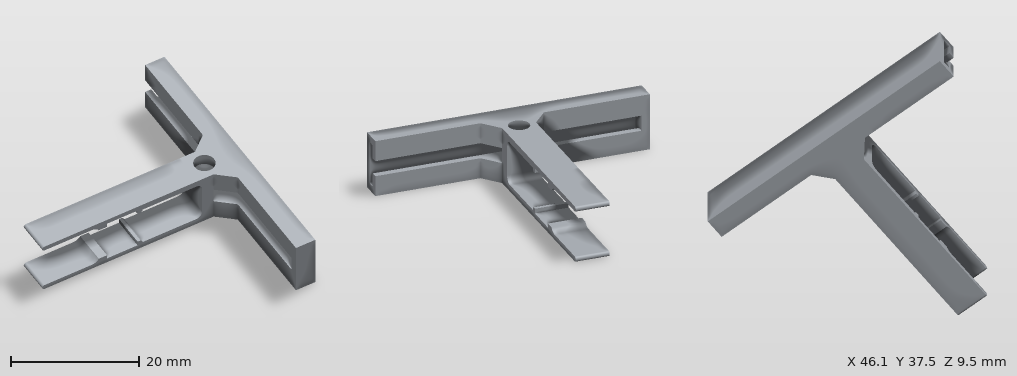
import cadquery as cq
import math


height = 9.5
bar_length = 46.15
bar_left = -23.0
bar_right = bar_left + bar_length
bar_depth = 3.5
total_depth = 37.5
stem_width = 5.7

gusset_width = 2.5
gusset_end = 6.4

slot_rear = 1.0
slot_head_depth = 1.4
slot_head_height = 7.1
slot_neck_height = 2.6
slot_end_wall = 1.4

hole_diameter = 3.5
hole_depth = 2.0

fork_start = 8.5
fork_corner_radius = 1.1
arm_root_thickness = 1.1
arm_thickness = 0.85
tip_radius = 0.42

inner_catch_start = 19.35
inner_catch_end = 20.2
inner_catch_thickness = 1.65
inner_catch_chamfer = 0.3
inner_catch_crest_start = inner_catch_start + inner_catch_chamfer
inner_catch_shoulder = inner_catch_thickness - inner_catch_chamfer

outer_catch_start = 25.75
outer_catch_crest_end = 27.25
outer_catch_thickness = 1.55
ramp_foot = 28.5
ramp_run = ramp_foot - outer_catch_crest_end
ramp_rise = outer_catch_thickness - arm_thickness
ramp_radius = (ramp_run**2 + ramp_rise**2) / (2 * ramp_rise)
ramp_half_angle = math.asin(ramp_run / ramp_radius) / 2
ramp_middle = ramp_foot - ramp_radius * math.sin(ramp_half_angle)
ramp_middle_thickness = arm_thickness + ramp_radius * (1 - math.cos(ramp_half_angle))


def box_between(x_min, x_max, depth_start, depth_end, box_height):
    """Box centred on mid-height between two X positions and two depths."""
    return cq.Workplane("XY").box(
        x_max - x_min, depth_end - depth_start, box_height, centered=(False, False, True)
    ).translate((x_min, -depth_end, 0))


def tee_body():
    """Bar, gussets and stem as one full-height plate."""
    half_stem = stem_width / 2
    gusset_reach = half_stem + gusset_width
    outline = [
        (bar_left, 0),
        (bar_right, 0),
        (bar_right, -bar_depth),
        (gusset_reach, -bar_depth),
        (half_stem, -gusset_end),
        (half_stem, -total_depth),
        (-half_stem, -total_depth),
        (-half_stem, -gusset_end),
        (-gusset_reach, -bar_depth),
        (bar_left, -bar_depth),
    ]
    return (
        cq.Workplane("XY")
        .workplane(offset=-height / 2)
        .polyline(outline)
        .close()
        .extrude(height)
    )


def t_slot():
    """Slot head inside the bar and its neck, which also splits the gussets."""
    slot_end = bar_right - slot_end_wall
    head_front = slot_rear + slot_head_depth
    head = box_between(bar_left, slot_end, slot_rear, head_front, slot_head_height)
    neck = box_between(bar_left, slot_end, head_front, gusset_end, slot_neck_height)
    return head.union(neck)


def blind_hole():
    """Round hole sunk from the top face where the gussets meet the stem."""
    return (
        cq.Workplane("XY")
        .workplane(offset=height / 2 - hole_depth)
        .center(0, -gusset_end)
        .circle(hole_diameter / 2)
        .extrude(hole_depth)
    )


def upper_arm_point(depth, thickness):
    """Point in the YZ plane on the inner side of the upper arm."""
    return (-depth, height / 2 - thickness)


def half_fork_gap():
    """Upper half of the gap between the arms, following the catches of the upper arm."""
    root_to_crest = [
        (fork_start, height / 2),
        (fork_start, arm_root_thickness),
        (inner_catch_start, arm_root_thickness),
        (inner_catch_start, inner_catch_shoulder),
        (inner_catch_crest_start, inner_catch_thickness),
        (inner_catch_end, inner_catch_thickness),
        (inner_catch_end, arm_thickness),
        (outer_catch_start, arm_thickness),
        (outer_catch_start, outer_catch_thickness),
        (outer_catch_crest_end, outer_catch_thickness),
    ]
    gap = (
        cq.Workplane("YZ")
        .polyline([upper_arm_point(depth, thickness) for depth, thickness in root_to_crest])
        .threePointArc(
            upper_arm_point(ramp_middle, ramp_middle_thickness),
            upper_arm_point(ramp_foot, arm_thickness),
        )
        .lineTo(*upper_arm_point(total_depth, arm_thickness))
        .lineTo(*upper_arm_point(total_depth, height / 2))
        .close()
        .extrude(stem_width / 2, both=True)
    )
    root_corner = cq.selectors.NearestToPointSelector(
        (0, *upper_arm_point(fork_start, arm_root_thickness))
    )
    return gap.edges(root_corner).fillet(fork_corner_radius)


def fork_gap():
    """Whole gap between the two arms, mirrored about mid-height."""
    upper = half_fork_gap()
    return upper.union(upper.mirror("XY"))


body = tee_body().cut(t_slot()).cut(blind_hole()).cut(fork_gap())
result = body.faces("<Y").edges("|X").fillet(tip_radius)